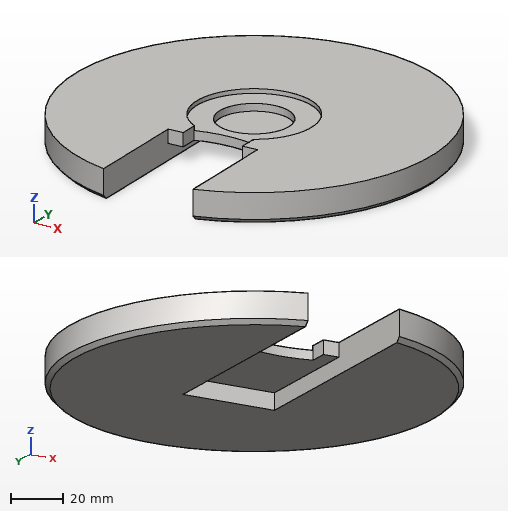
import cadquery as cq

disc_diameter = 159.9
thickness = 13.0
bottom_chamfer = 1.9

recess_diameter = 51.5
recess_depth = 1.9
pocket_diameter = 31.0
pocket_depth = 3.2

slot_width = 40.0
slot_end_y = -30.2
throat_width = 26.5
throat_crown_y = -20.5
throat_corner_y = -22.2

undercut_height = 7.0
undercut_end_y = slot_width / 2

disc_radius = disc_diameter / 2


def make_disc():
    disc = cq.Workplane("XY").circle(disc_radius).extrude(thickness)
    return disc.faces("<Z").chamfer(bottom_chamfer)


def round_recess(diameter, top_z, depth):
    return cq.Workplane("XY").workplane(offset=top_z - depth).circle(diameter / 2).extrude(depth)


def rim_slot(end_y, height):
    """Full-width slot running from the -Y rim to a flat end."""
    length = disc_radius + end_y
    slot = cq.Workplane("XY").box(slot_width, length, height, centered=(True, False, False))
    return slot.translate((0, -disc_radius, 0))


def throat():
    """Narrow passage with a shallow arched inner end."""
    half_width = throat_width / 2
    return (
        cq.Workplane("XY")
        .moveTo(-half_width, slot_end_y)
        .lineTo(-half_width, throat_corner_y)
        .threePointArc((0, throat_crown_y), (half_width, throat_corner_y))
        .lineTo(half_width, slot_end_y)
        .close()
        .extrude(thickness)
    )


result = (
    make_disc()
    .cut(round_recess(recess_diameter, thickness, recess_depth))
    .cut(round_recess(pocket_diameter, thickness - recess_depth, pocket_depth))
    .cut(rim_slot(slot_end_y, thickness))
    .cut(throat())
    .cut(rim_slot(undercut_end_y, undercut_height))
)